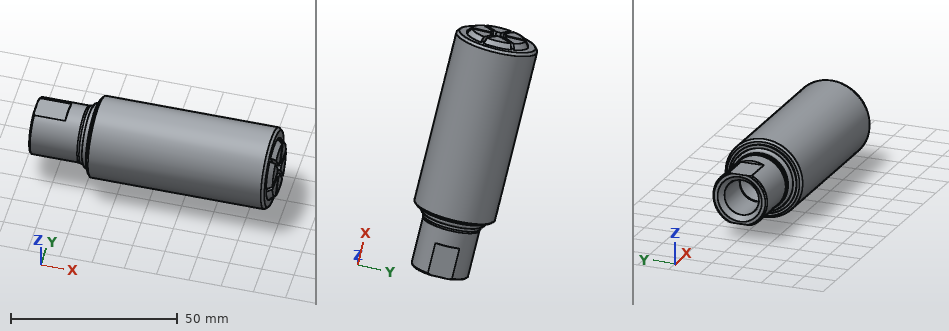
import cadquery as cq
import math

total_length = 75.45
body_diameter = 25.05
body_front = 18.7
body_back = 73.85
body_face_diameter = 23.5
front_chamfer_length = 0.7
back_chamfer_length = 0.9

neck_diameter = 17.5
neck_chamfer = 0.45
neck_end = 15.0
collar_diameter = 17.95
collar_start = 15.7

bead_start = 16.6
bead_radius = 1.05
disc_start = 18.25
disc_diameter = 21.8

flat_spacing = 15.85
flat_length = 10.0

nut_base_diameter = 19.1
nut_face_diameter = 16.4
slot_width = 1.05
slot_count = 6

mouth_diameter = 14.3
bore_diameter = 11.2
bore_depth = 13.6
drill_diameter = 10.7
hole_diameter = 4.8
mouth_half_angle = 45.0
drill_half_angle = 59.0


def cone_length(large_diameter, small_diameter, half_angle):
    """Axial length of a cone between two diameters."""
    return (large_diameter - small_diameter) / 2 / math.tan(math.radians(half_angle))


def make_outside():
    """Revolve the stepped outer outline about the X axis."""
    collar_radius = collar_diameter / 2
    bead_center = bead_start + bead_radius
    bead_end_height = math.sqrt(bead_radius**2 - (disc_start - bead_center) ** 2)
    outline = (
        cq.Workplane("XY")
        .moveTo(0, 0)
        .lineTo(0, neck_diameter / 2 - neck_chamfer)
        .lineTo(neck_chamfer, neck_diameter / 2)
        .lineTo(neck_end, neck_diameter / 2)
        .lineTo(collar_start, collar_radius)
        .lineTo(bead_start, collar_radius)
        .threePointArc(
            (bead_center, collar_radius + bead_radius),
            (disc_start, collar_radius + bead_end_height),
        )
        .lineTo(disc_start, disc_diameter / 2)
        .lineTo(body_front, disc_diameter / 2)
        .lineTo(body_front, body_face_diameter / 2)
        .lineTo(body_front + front_chamfer_length, body_diameter / 2)
        .lineTo(body_back - back_chamfer_length, body_diameter / 2)
        .lineTo(body_back, body_face_diameter / 2)
        .lineTo(body_back, nut_base_diameter / 2)
        .lineTo(total_length, nut_face_diameter / 2)
        .lineTo(total_length, 0)
        .close()
    )
    return outline.revolve(360, (0, 0, 0), (1, 0, 0))


def make_bore():
    """Countersunk bore with a narrow ledge, a drill-point floor and a through hole."""
    mouth_length = cone_length(mouth_diameter, bore_diameter, mouth_half_angle)
    point_length = cone_length(drill_diameter, hole_diameter, drill_half_angle)
    outline = (
        cq.Workplane("XY")
        .moveTo(0, 0)
        .lineTo(0, mouth_diameter / 2)
        .lineTo(mouth_length, bore_diameter / 2)
        .lineTo(bore_depth, bore_diameter / 2)
        .lineTo(bore_depth, drill_diameter / 2)
        .lineTo(bore_depth + point_length, hole_diameter / 2)
        .lineTo(total_length, hole_diameter / 2)
        .lineTo(total_length, 0)
        .close()
    )
    return outline.revolve(360, (0, 0, 0), (1, 0, 0))


def cut_flats(part):
    """Cut the two wrench flats, above and below the neck axis."""
    for side in (1, -1):
        cutter = cq.Workplane("XY").box(
            flat_length, neck_diameter, neck_diameter, centered=(False, True, True)
        )
        part = part.cut(cutter.translate((0, 0, side * (flat_spacing + neck_diameter) / 2)))
    return part


def cut_nut_slots(part):
    """Cut slots across the nut; each cut makes two opposite slots."""
    slot = cq.Workplane("XY").box(
        total_length - body_back, body_diameter, slot_width, centered=(False, True, True)
    ).translate((body_back, 0, 0))
    for index in range(slot_count // 2):
        angle = index * 360 / slot_count
        part = part.cut(slot.rotate((0, 0, 0), (1, 0, 0), angle))
    return part


result = make_outside().cut(make_bore())
result = cut_flats(result)
result = cut_nut_slots(result)